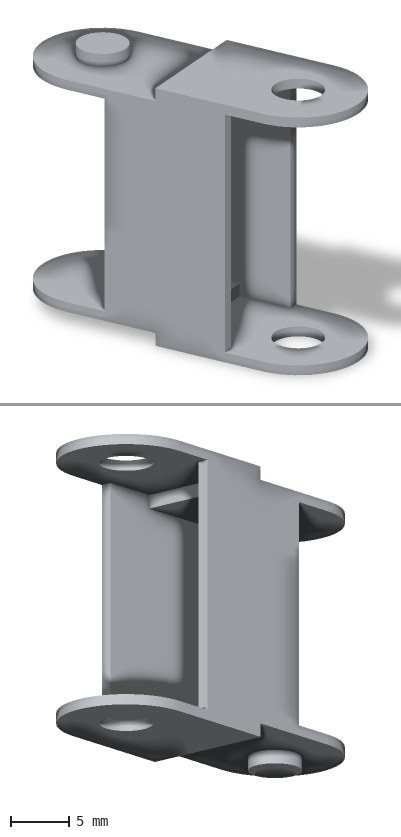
import cadquery as cq

length = 31.5
width = 12.0
height = 24.13

plate_thickness = 0.9
wall_thickness = 1.0
wall_length = 12.0
step_drop = 1.2
step_x = -0.95
pin_diameter = 4.63
hole_diameter = 4.63

end_radius = width / 2
pivot_x = length / 2 - end_radius
narrow_height = height - 2 * step_drop
step_inner_x = -step_x


def centered_block(x_start, x_end, y_size, z_size):
    """Block between two X positions, centred on Y and Z."""
    x_size = x_end - x_start
    return cq.Workplane("XY").box(x_size, y_size, z_size).translate(((x_start + x_end) / 2, 0, 0))


narrow_end = centered_block(-length / 2, step_x, width, narrow_height)
wide_end = centered_block(step_x, length / 2, width, height)
envelope = narrow_end.union(wide_end)

narrow_hollow = centered_block(-length / 2, step_inner_x, width, narrow_height - 2 * plate_thickness)
wide_hollow = centered_block(step_inner_x, length / 2, width, height - 2 * plate_thickness)
plates = envelope.cut(narrow_hollow.union(wide_hollow))

wall_zone = centered_block(-wall_length / 2, wall_length / 2, width, height)
wall_gap = centered_block(-wall_length / 2, wall_length / 2, width - 2 * wall_thickness, height)
walls = wall_zone.cut(wall_gap).intersect(envelope)

round_outline = cq.Workplane("XY").slot2D(length, width).extrude(height / 2, both=True)
link = plates.union(walls).intersect(round_outline)

for z_start in (-height / 2, narrow_height / 2):
    pin = (
        cq.Workplane("XY", origin=(-pivot_x, 0, z_start))
        .circle(pin_diameter / 2)
        .extrude(step_drop)
    )
    link = link.union(pin)

hole = (
    cq.Workplane("XY", origin=(pivot_x, 0, 0))
    .circle(hole_diameter / 2)
    .extrude(height / 2, both=True)
)
result = link.cut(hole)